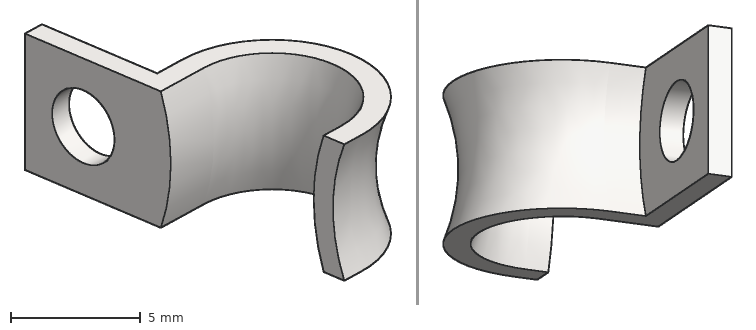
import cadquery as cq
import math

total_length = 15.08
height = 6.0
thickness = 1.0
throat_radius = 3.0
bore_curve_radius = 9.0
long_leg = 2.5
short_leg = 1.0
hole_diameter = 3.2
hole_edge_distance = 3.0

half_height = height / 2
curve_center = throat_radius + bore_curve_radius
outer_curve_radius = bore_curve_radius - thickness
outer_waist_radius = throat_radius + thickness
bore_rim_radius = curve_center - math.sqrt(bore_curve_radius**2 - half_height**2)
outer_rim_radius = curve_center - math.sqrt(outer_curve_radius**2 - half_height**2)
tab_end_x = outer_rim_radius - total_length


def wall_section(side):
    """Curved wall section in the XZ plane, on the side (+1 or -1) of the axis."""
    return (
        cq.Workplane("XZ")
        .moveTo(side * bore_rim_radius, -half_height)
        .threePointArc((side * throat_radius, 0), (side * bore_rim_radius, half_height))
        .lineTo(side * outer_rim_radius, half_height)
        .threePointArc((side * outer_waist_radius, 0), (side * outer_rim_radius, -half_height))
        .close()
    )


def mounting_tab():
    """Flat tab with a screw hole, ending inside the wall of the long leg."""
    inner_end_x = -(bore_rim_radius + outer_waist_radius) / 2
    tab = cq.Workplane("XY").box(
        inner_end_x - tab_end_x, thickness, height, centered=(False, False, True)
    ).translate((tab_end_x, -long_leg, 0))
    hole = (
        cq.Workplane("XZ", origin=(0, -long_leg + thickness, 0))
        .center(tab_end_x + hole_edge_distance, 0)
        .circle(hole_diameter / 2)
        .extrude(thickness)
    )
    return tab.cut(hole)


saddle = wall_section(1).revolve(180, (0, 0, 0), (0, 1, 0))
left_leg = wall_section(-1).extrude(long_leg)
right_leg = wall_section(1).extrude(short_leg)

result = saddle.union(left_leg).union(right_leg).union(mounting_tab())